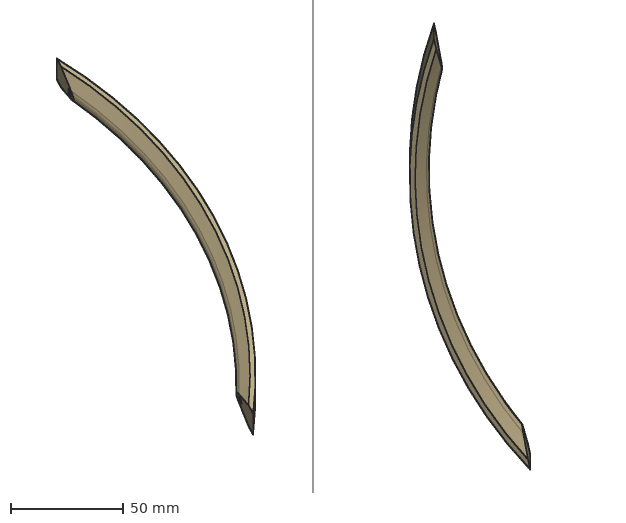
import cadquery as cq
import math

length = 221.3
rise = 28.5
height = 15.0

edge_thickness = 2.5
nose_thickness = 8.6
nose_radius = 4.0

hole_spacing = 192.0
hole_diameter = 3.3
hole_depth = 4.5
drill_point_angle = 118

outer_radius = ((length / 2) ** 2 + rise ** 2) / (2 * rise)
arc_center_y = rise - outer_radius


def bar_ring():
    """Full ring of the bar section: flat top and bottom edges, rounded nose facing inward."""
    half_height = height / 2
    edge_radius = outer_radius - edge_thickness
    nose_tip = outer_radius - nose_thickness
    nose_center_depth = nose_thickness - edge_thickness - nose_radius
    corner_distance = math.hypot(nose_center_depth, half_height)
    nose_half_angle = math.atan2(half_height, nose_center_depth) - math.asin(nose_radius / corner_distance)
    tangent_z = nose_radius * math.cos(nose_half_angle)
    tangent_radius = nose_tip + nose_radius * (1 - math.sin(nose_half_angle))
    section = (
        cq.Workplane("XZ")
        .moveTo(outer_radius, -half_height)
        .lineTo(outer_radius, half_height)
        .lineTo(edge_radius, half_height)
        .lineTo(tangent_radius, tangent_z)
        .threePointArc((nose_tip, 0), (tangent_radius, -tangent_z))
        .lineTo(edge_radius, -half_height)
        .close()
    )
    ring = section.revolve(360, (0, 0, 0), (0, 1, 0))
    return ring.translate((0, arc_center_y, 0))


def bow():
    """Part of the ring beyond the mounting plane."""
    keep = cq.Workplane("XY").box(length, rise, height, centered=(True, False, True))
    return bar_ring().intersect(keep)


def mounting_hole(x):
    """Blind drilled hole with a conical bottom, running from a foot in the +Y direction."""
    hole_radius = hole_diameter / 2
    point_length = hole_radius / math.tan(math.radians(drill_point_angle / 2))
    profile = (
        cq.Workplane("XY")
        .lineTo(hole_radius, 0)
        .lineTo(hole_radius, hole_depth - point_length)
        .lineTo(0, hole_depth)
        .close()
    )
    return profile.revolve(360, (0, 0, 0), (0, 1, 0)).translate((x, 0, 0))


result = bow()
for side in (-1, 1):
    result = result.cut(mounting_hole(side * hole_spacing / 2))